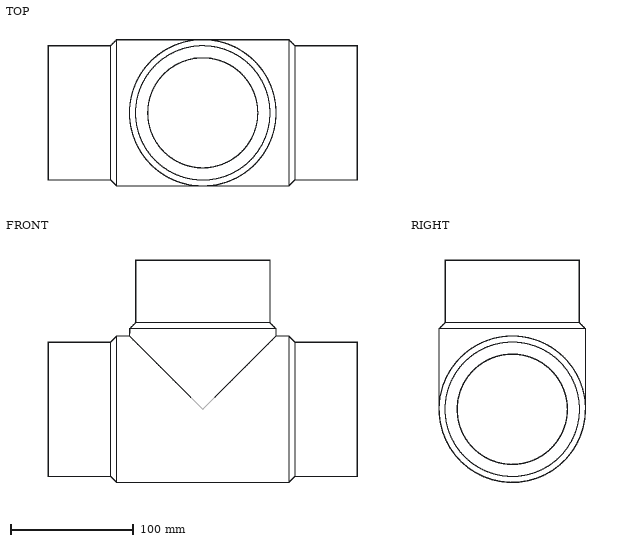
import cadquery as cq

run_length = 253.0
total_height = 182.0
body_diameter = 120.0
spigot_diameter = 110.0
bore_diameter = 90.0
spigot_length = 51.0

body_radius = body_diameter / 2
shoulder_chamfer = (body_diameter - spigot_diameter) / 2
body_length = run_length - 2 * spigot_length
branch_height = total_height - body_radius
branch_body_height = branch_height - spigot_length


def make_run_cylinder(diameter, length):
    """Cylinder along X, centred on the origin."""
    return cq.Workplane("YZ", origin=(-length / 2, 0, 0)).circle(diameter / 2).extrude(length)


def make_run():
    """Thick run body along X with chamfered shoulders and a spigot at each end."""
    body = make_run_cylinder(body_diameter, body_length).edges("%CIRCLE").chamfer(shoulder_chamfer)
    spigots = make_run_cylinder(spigot_diameter, run_length)
    return body.union(spigots)


def make_branch():
    """Thick branch body rising along Z from the run axis, with one spigot on top."""
    body = (
        cq.Workplane("XY")
        .circle(body_radius)
        .extrude(branch_body_height)
        .faces(">Z")
        .chamfer(shoulder_chamfer)
    )
    spigot = cq.Workplane("XY").circle(spigot_diameter / 2).extrude(branch_height)
    return body.union(spigot)


def make_bores():
    """Bore through the whole run, met by the branch bore at the run axis."""
    run_bore = make_run_cylinder(bore_diameter, run_length)
    branch_bore = cq.Workplane("XY").circle(bore_diameter / 2).extrude(branch_height)
    return run_bore.union(branch_bore)


result = make_run().union(make_branch()).cut(make_bores())